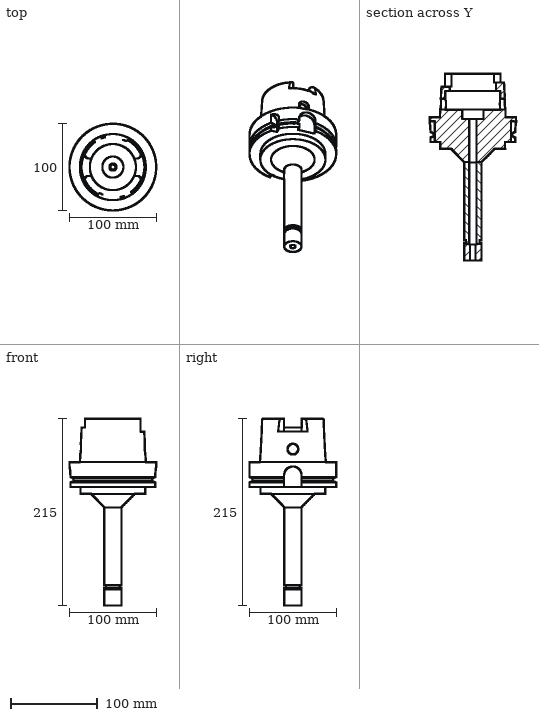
import cadquery as cq

TOTAL_LENGTH = 215.0

TAPER_LENGTH = 50.0
TAPER_BASE_DIAMETER = 76.1
TAPER_TIP_DIAMETER = 71.0
TAPER_RIM_FILLET = 2.0
BORE_DIAMETER = 53.0
BORE_LIP_LENGTH = 20.0
UNDERCUT_DIAMETER = 63.0
BORE_DEPTH = 41.3
COUNTERBORE_DIAMETER = 24.3
COUNTERBORE_DEPTH = 10.8
COOLANT_DIAMETER = 8.2
CROSS_HOLE_DIAMETER = 12.0
CROSS_HOLE_DROP = 35.0

DRIVE_SLOT_WIDTH = 20.0
DRIVE_SLOT_DEPTH_LEFT = 10.0
DRIVE_SLOT_DEPTH_RIGHT = 15.0
DRIVE_LAND_HALF_LENGTH = 32.0
DRIVE_LAND_FILLET = 4.0

FLANGE_DIAMETER = 100.0
FLANGE_HEIGHT = 28.5
GRIP_GROOVE_DIAMETER = 92.9
GRIP_GROOVE_DROP = 20.2
GRIP_GROOVE_OPENING = 6.5
GRIP_GROOVE_FLOOR = 3.0
KEYWAY_WIDTH = DRIVE_SLOT_WIDTH
SLOT_TOP_DROP = 5.0
KEYWAY_FLOOR_X = 44.0
NOTCH_WIDTH = 16.0
NOTCH_CENTER_Y = 39.3
NOTCH_FLOOR_X = 32.0

COLLAR_DIAMETER = 75.0
COLLAR_HEIGHT = 8.0
CONE_TOP_DIAMETER = 50.0
CONE_HEIGHT = 15.3

STEM_DIAMETER = 20.0
END_PIECE_LENGTH = 18.7
STEM_GROOVE_DIAMETER = 16.0
STEM_GROOVE_WIDTH = 3.0
STEM_RING_HEIGHT = 2.0
END_HOLE_DIAMETER = 6.0

COLLAR_BOTTOM = -FLANGE_HEIGHT - COLLAR_HEIGHT
STEM_TOP = COLLAR_BOTTOM - CONE_HEIGHT
END_BOTTOM = TAPER_LENGTH - TOTAL_LENGTH
END_TOP = END_BOTTOM + END_PIECE_LENGTH
BORE_FLOOR = TAPER_LENGTH - BORE_DEPTH
FLANGE_RADIUS = FLANGE_DIAMETER / 2


def cylinder(diameter, bottom, top):
    """Cylinder on the main axis between two heights."""
    return cq.Workplane("XY", origin=(0, 0, bottom)).circle(diameter / 2).extrude(top - bottom)


def box_between(x_range, y_range, z_range):
    """Box spanning the given low and high limits on each axis."""
    ranges = (x_range, y_range, z_range)
    sizes = [high - low for low, high in ranges]
    corner = tuple(low for low, high in ranges)
    return cq.Workplane("XY").box(*sizes, centered=False).translate(corner)


def revolved(half_profile):
    """Solid of revolution about Z from (radius, height) points."""
    return cq.Workplane("XZ").polyline(half_profile).close().revolve(360, (0, 0, 0), (0, 1, 0))


def taper_shank():
    """Tapered cone with a rounded rim."""
    cone = revolved([
        (0, 0),
        (TAPER_BASE_DIAMETER / 2, 0),
        (TAPER_TIP_DIAMETER / 2, TAPER_LENGTH),
        (0, TAPER_LENGTH),
    ])
    return cone.faces(">Z").edges().fillet(TAPER_RIM_FILLET)


def flange_and_neck():
    """Flange with its V-sided gripper groove, the collar and the cone down to the stem."""
    groove_radius = GRIP_GROOVE_DIAMETER / 2
    half_opening = GRIP_GROOVE_OPENING / 2
    half_floor = GRIP_GROOVE_FLOOR / 2
    return revolved([
        (0, 0),
        (FLANGE_RADIUS, 0),
        (FLANGE_RADIUS, -GRIP_GROOVE_DROP + half_opening),
        (groove_radius, -GRIP_GROOVE_DROP + half_floor),
        (groove_radius, -GRIP_GROOVE_DROP - half_floor),
        (FLANGE_RADIUS, -GRIP_GROOVE_DROP - half_opening),
        (FLANGE_RADIUS, -FLANGE_HEIGHT),
        (COLLAR_DIAMETER / 2, -FLANGE_HEIGHT),
        (COLLAR_DIAMETER / 2, COLLAR_BOTTOM),
        (CONE_TOP_DIAMETER / 2, COLLAR_BOTTOM),
        (STEM_DIAMETER / 2, STEM_TOP),
        (0, STEM_TOP),
    ])


def bore_cutter():
    """Bore with a square step out to an undercut, then the counterbore and coolant hole."""
    bore_radius = BORE_DIAMETER / 2
    undercut_radius = UNDERCUT_DIAMETER / 2
    lip_end = TAPER_LENGTH - BORE_LIP_LENGTH
    bore = revolved([
        (0, TAPER_LENGTH),
        (bore_radius, TAPER_LENGTH),
        (bore_radius, lip_end),
        (undercut_radius, lip_end),
        (undercut_radius, BORE_FLOOR),
        (0, BORE_FLOOR),
    ])
    counterbore = cylinder(COUNTERBORE_DIAMETER, BORE_FLOOR - COUNTERBORE_DEPTH, BORE_FLOOR)
    coolant_hole = cylinder(COOLANT_DIAMETER, STEM_TOP, BORE_FLOOR)
    return bore.union(counterbore).union(coolant_hole)


def drive_slot_cutter(side, depth):
    """Slot through the rim on one side (-1 or +1 along X), leaving lands with rounded corners."""
    bottom = TAPER_LENGTH - depth
    reach = FLANGE_RADIUS
    x_range = (0, reach) if side > 0 else (-reach, 0)
    cutter = box_between(x_range, (-reach, reach), (bottom, TAPER_LENGTH))
    for y_side in (-1, 1):
        land = (
            cq.Workplane("XY", origin=(0, y_side * (DRIVE_SLOT_WIDTH + reach) / 2, bottom))
            .rect(2 * DRIVE_LAND_HALF_LENGTH, reach)
            .extrude(depth)
            .edges("|Z")
            .fillet(DRIVE_LAND_FILLET)
        )
        cutter = cutter.cut(land)
    return cutter


def arched_cutter(side, width, center_y, floor_x):
    """Slot with a round top, open at the flange bottom, cut in along X to a flat floor."""
    arch_center = -SLOT_TOP_DROP - width / 2
    depth = FLANGE_RADIUS - floor_x
    leg_height = arch_center + FLANGE_HEIGHT
    start_x = floor_x if side > 0 else -FLANGE_RADIUS
    plane = cq.Workplane("YZ", origin=(start_x, center_y, 0))
    arch = plane.center(0, arch_center).circle(width / 2).extrude(depth)
    legs = plane.center(0, arch_center - leg_height / 2).rect(width, leg_height).extrude(depth)
    return arch.union(legs)


def cross_hole_cutter():
    """Radial hole through both walls of the taper along X."""
    return (
        cq.Workplane("YZ", origin=(0, 0, TAPER_LENGTH - CROSS_HOLE_DROP))
        .circle(CROSS_HOLE_DIAMETER / 2)
        .extrude(FLANGE_RADIUS, both=True)
    )


def make_holder():
    holder = flange_and_neck().union(taper_shank())
    holder = holder.cut(bore_cutter())
    holder = holder.cut(drive_slot_cutter(-1, DRIVE_SLOT_DEPTH_LEFT))
    holder = holder.cut(drive_slot_cutter(1, DRIVE_SLOT_DEPTH_RIGHT))
    holder = holder.cut(cross_hole_cutter())
    for side in (-1, 1):
        holder = holder.cut(arched_cutter(side, KEYWAY_WIDTH, 0, KEYWAY_FLOOR_X))
    return holder.cut(arched_cutter(-1, NOTCH_WIDTH, NOTCH_CENTER_Y, NOTCH_FLOOR_X))


def make_stem():
    """Long cylinder with a groove and a thin ring above its lower end."""
    groove_bottom = END_TOP + STEM_RING_HEIGHT
    groove_top = groove_bottom + STEM_GROOVE_WIDTH
    return (
        cylinder(STEM_DIAMETER, groove_top, STEM_TOP)
        .union(cylinder(STEM_GROOVE_DIAMETER, groove_bottom, groove_top))
        .union(cylinder(STEM_DIAMETER, END_TOP, groove_bottom))
        .cut(cylinder(COOLANT_DIAMETER, END_TOP, STEM_TOP))
    )


def make_end_piece():
    """Plain cylinder with a smaller through hole, closing the stem at the bottom."""
    body = cylinder(STEM_DIAMETER, END_BOTTOM, END_TOP)
    return body.cut(cylinder(END_HOLE_DIAMETER, END_BOTTOM, END_TOP))


holder = make_holder()
stem = make_stem()
end_piece = make_end_piece()

result = cq.Compound.makeCompound([holder.val(), stem.val(), end_piece.val()])